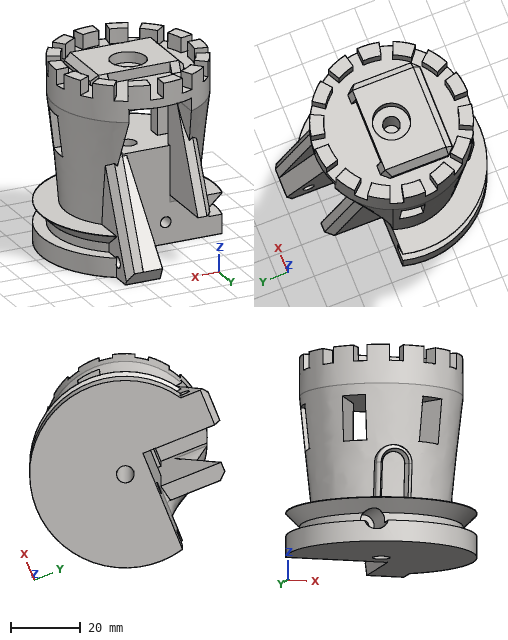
import cadquery as cq
import math

BASE_RADIUS = 54.9 / 2
RING_RADIUS = 47.0 / 2
TOWER_FOOT_RADIUS = 19.95
DISC_TOP = 6.05
NECK_TOP = 8.9
TOWER_FOOT = 12.85
RIM_THICKNESS = 0.2
RING_BOTTOM = 46.7
DECK = 53.35
TOWER_TOP = 58.0

CRENEL_COUNT = 14
CRENEL_ANGLE = 16
CRENEL_INNER_RADIUS = 19.45

HOLDER_HALF_WIDTH = 14.8
HOLDER_FRONT = -13.8
HOLDER_TOP = 56.5
HOLDER_CHAMFER = 2.05
SLOT_HALF_WIDTH = 9.9
SLOT_FRONT = 7
SLOT_TOP = 50.65
LEFT_PLATE_BOTTOM = 15.1

TOTAL_DEPTH = 58.2
ARM_TIP_Y = TOTAL_DEPTH - BASE_RADIUS
ARM_TIP_Z = 3.7
ARM_HEEL_Y = 29.15
LUG_LEFT = 3.8
LUG_RISE = 1.1
HINGE_HOLE_DIAMETER = 3.4
HINGE_HOLE_Y = 24.0
HINGE_HOLE_Z = 5.05

ROOM_FRONT = -9.5
WINDOW_WIDTH = 7
WINDOW_BOTTOM = 30.5
WINDOW_TOP = 43.5
WINDOW_OFFSET = 2.25
WINDOW_ANGLES = (-90, -30, 30, 90)

SCREW_HOLE_DIAMETER = 5.0
SCREW_HEAD_DIAMETER = 11.0
SCREW_HEAD_DEPTH = 3.4
CORD_HOLE_DIAMETER = 3.3
CORD_RECESS_DIAMETER = 6.5
CORD_X = -8.6
CORD_Z = 6.8
CORD_RECESS_FLOOR = -11.65

DOOR_X = -2.2
DOOR_POST_HEIGHT = 11.0
DOOR_OUTER_RADIUS = 5.3
DOOR_INNER_RADIUS = 3.3
DOOR_PROUD = 1.65
DOOR_SINK = 3.5
DOOR_ROUND = 1.1
DOOR_FLARE_ANGLE = 27


def block(x_min, x_max, y_min, y_max, z_min, z_max):
    size = (x_max - x_min, y_max - y_min, z_max - z_min)
    return cq.Workplane().box(*size, centered=False).translate((x_min, y_min, z_min))


def on_circle(radius, degrees):
    angle = math.radians(degrees)
    return (radius * math.cos(angle), radius * math.sin(angle))


def half_chord(radius, offset):
    return math.sqrt(radius**2 - offset**2)


def back_line_y(z):
    """Y of the sloping back of the holder at height z."""
    fraction = (z - ARM_TIP_Z) / (HOLDER_TOP - ARM_TIP_Z)
    return ARM_TIP_Y + fraction * (SLOT_FRONT - ARM_TIP_Y)


def make_base():
    """Grooved disc with a flared rim, cut away behind on the left."""
    profile = [
        (0, 0),
        (BASE_RADIUS, 0),
        (BASE_RADIUS, DISC_TOP),
        (RING_RADIUS, DISC_TOP),
        (RING_RADIUS, NECK_TOP),
        (BASE_RADIUS, TOWER_FOOT - RIM_THICKNESS),
        (BASE_RADIUS, TOWER_FOOT),
        (0, TOWER_FOOT),
    ]
    base = cq.Workplane("XZ").polyline(profile).close().revolve(360, (0, 0), (0, 1))
    return base.cut(block(-BASE_RADIUS, SLOT_HALF_WIDTH, SLOT_FRONT, BASE_RADIUS, 0, TOWER_FOOT))


def make_tower():
    """Ruled body that blends the cut-back foot into the full ring above."""
    foot_left_start = (-half_chord(TOWER_FOOT_RADIUS, SLOT_FRONT), SLOT_FRONT)
    foot_left_end = (-HOLDER_HALF_WIDTH, SLOT_FRONT)
    foot_right = (HOLDER_HALF_WIDTH, half_chord(TOWER_FOOT_RADIUS, HOLDER_HALF_WIDTH))
    head_right = (SLOT_HALF_WIDTH, half_chord(RING_RADIUS, SLOT_HALF_WIDTH))
    head_left_end = (-head_right[0], head_right[1])
    slot_right = (SLOT_HALF_WIDTH, SLOT_FRONT)
    slot_left = (-SLOT_HALF_WIDTH, SLOT_FRONT)

    split_angle = math.degrees(math.atan2(foot_left_start[1], foot_left_start[0]))
    end_angle = math.degrees(math.atan2(head_left_end[1], head_left_end[0]))
    head_left_start = on_circle(RING_RADIUS, split_angle)
    head_left_middle = on_circle(RING_RADIUS, (split_angle + end_angle) / 2)

    foot = cq.Workplane().workplane(offset=TOWER_FOOT).moveTo(*foot_right)
    foot = foot.threePointArc((0, -TOWER_FOOT_RADIUS), foot_left_start).lineTo(*foot_left_end)
    foot = foot.lineTo(*slot_left).lineTo(*slot_right).close()

    head = cq.Workplane().workplane(offset=RING_BOTTOM).moveTo(*head_right)
    head = head.threePointArc((0, -RING_RADIUS), head_left_start)
    head = head.threePointArc(head_left_middle, head_left_end)
    head = head.lineTo(*slot_left).lineTo(*slot_right).close()
    ruled = True
    return cq.Workplane(cq.Solid.makeLoft([foot.val(), head.val()], ruled))


def make_ring():
    """Ring around the deck with evenly spaced gaps that leave the crenels standing."""
    ring = (
        cq.Workplane()
        .workplane(offset=RING_BOTTOM)
        .circle(RING_RADIUS)
        .extrude(TOWER_TOP - RING_BOTTOM)
        .faces(">Z")
        .workplane()
        .circle(CRENEL_INNER_RADIUS)
        .cutBlind(DECK - TOWER_TOP)
    )
    pitch = 360 / CRENEL_COUNT
    gap = (
        cq.Workplane()
        .workplane(offset=DECK)
        .lineTo(*on_circle(BASE_RADIUS, CRENEL_ANGLE))
        .lineTo(*on_circle(BASE_RADIUS, pitch))
        .close()
        .extrude(TOWER_TOP - DECK)
    )
    for index in range(CRENEL_COUNT):
        ring = ring.cut(gap.rotate((0, 0, 0), (0, 0, 1), 90 + index * pitch))
    return ring.cut(
        block(-SLOT_HALF_WIDTH, SLOT_HALF_WIDTH, SLOT_FRONT, BASE_RADIUS, RING_BOTTOM, SLOT_TOP)
    )


def make_holder():
    """Chamfered holder with its open slot, left plate and right hinge arm."""
    profile = [
        (HOLDER_FRONT, 0),
        (ARM_HEEL_Y, 0),
        (ARM_TIP_Y, ARM_TIP_Z),
        (SLOT_FRONT, HOLDER_TOP),
        (HOLDER_FRONT, HOLDER_TOP),
    ]
    holder = cq.Workplane("YZ").polyline(profile).close().extrude(HOLDER_HALF_WIDTH, both=True)
    top_edges = holder.faces(">Z").edges("<Y or <X or >X").vals()
    front_edges = holder.faces("<Y").edges("|Z").vals()
    middle_z = (ARM_TIP_Z + HOLDER_TOP) / 2
    back_edges = []
    for side in (-1, 1):
        middle = (side * HOLDER_HALF_WIDTH, back_line_y(middle_z), middle_z)
        back_edges += holder.edges(cq.selectors.NearestToPointSelector(middle)).vals()
    holder = holder.newObject(top_edges + front_edges + back_edges).chamfer(HOLDER_CHAMFER)

    slot = block(-SLOT_HALF_WIDTH, SLOT_HALF_WIDTH, SLOT_FRONT, ARM_TIP_Y, 0, HOLDER_TOP)
    below_plate = block(
        -HOLDER_HALF_WIDTH, -SLOT_HALF_WIDTH, SLOT_FRONT, ARM_TIP_Y, 0, LEFT_PLATE_BOTTOM
    )
    return holder.cut(slot).cut(below_plate)


def make_lug():
    """Wedge that thickens the lower hinge arm on its slot side."""
    profile = [
        (SLOT_FRONT, 0),
        (ARM_HEEL_Y, 0),
        (ARM_TIP_Y, ARM_TIP_Z),
        (SLOT_FRONT, ARM_TIP_Z + (ARM_TIP_Y - SLOT_FRONT) * LUG_RISE),
    ]
    width = SLOT_HALF_WIDTH - LUG_LEFT
    return cq.Workplane("YZ").workplane(offset=LUG_LEFT).polyline(profile).close().extrude(width)


def make_door_frame():
    """Arched frame, standing proud of the sloping tower front, with a flared opening."""
    lean = math.atan2(RING_RADIUS - TOWER_FOOT_RADIUS, RING_BOTTOM - TOWER_FOOT)
    front = cq.Plane(
        origin=(DOOR_X, -TOWER_FOOT_RADIUS, TOWER_FOOT),
        xDir=(1, 0, 0),
        normal=(0, -math.cos(lean), -math.sin(lean)),
    )

    def arch(radius, start, height, taper=0):
        return (
            cq.Workplane(front)
            .workplane(offset=start)
            .moveTo(-radius, -DOOR_SINK)
            .lineTo(radius, -DOOR_SINK)
            .lineTo(radius, DOOR_POST_HEIGHT)
            .threePointArc((0, DOOR_POST_HEIGHT + radius), (-radius, DOOR_POST_HEIGHT))
            .close()
            .extrude(height, taper=taper)
        )

    frame = arch(DOOR_OUTER_RADIUS, -DOOR_SINK, DOOR_SINK + DOOR_PROUD)
    frame = frame.faces(cq.selectors.DirectionMinMaxSelector(front.zDir)).edges().fillet(DOOR_ROUND)
    frame = frame.cut(arch(DOOR_INNER_RADIUS, -DOOR_SINK, DOOR_SINK))
    frame = frame.cut(arch(DOOR_INNER_RADIUS, 0, DOOR_PROUD, -DOOR_FLARE_ANGLE))
    above_base = block(-BASE_RADIUS, BASE_RADIUS, -BASE_RADIUS, 0, TOWER_FOOT, DECK)
    return frame.intersect(above_base)


def make_room():
    """Room between the holder side walls, open to the slot behind it."""
    return block(
        -SLOT_HALF_WIDTH, SLOT_HALF_WIDTH, ROOM_FRONT, BASE_RADIUS, WINDOW_BOTTOM, WINDOW_TOP
    )


def make_window(angle):
    """Shaft set off to one side of the tower axis, turned from the front by the angle."""
    left = -WINDOW_OFFSET - WINDOW_WIDTH / 2
    right = -WINDOW_OFFSET + WINDOW_WIDTH / 2
    shaft = block(left, right, -BASE_RADIUS, 0, WINDOW_BOTTOM, WINDOW_TOP)
    return shaft.rotate((0, 0, 0), (0, 0, 1), angle)


def rod(plane, origin, diameter, length):
    return cq.Workplane(plane, origin=origin).circle(diameter / 2).extrude(length)


result = make_base().union(make_tower()).union(make_ring())
for body in (make_holder(), make_lug(), make_door_frame()):
    result = result.union(body)
result = result.cut(make_room())
for angle in WINDOW_ANGLES:
    result = result.cut(make_window(angle))

result = result.cut(rod("XY", (0, 0, 0), SCREW_HOLE_DIAMETER, TOWER_TOP))
result = result.cut(rod("XY", (0, 0, HOLDER_TOP), SCREW_HEAD_DIAMETER, -SCREW_HEAD_DEPTH))
hinge_origin = (0, HINGE_HOLE_Y, HINGE_HOLE_Z)
result = result.cut(rod("YZ", hinge_origin, HINGE_HOLE_DIAMETER, HOLDER_HALF_WIDTH))
result = result.cut(rod("XZ", (CORD_X, SLOT_FRONT, CORD_Z), CORD_HOLE_DIAMETER, 2 * BASE_RADIUS))
result = result.cut(rod("XZ", (CORD_X, CORD_RECESS_FLOOR, CORD_Z), CORD_RECESS_DIAMETER, BASE_RADIUS))